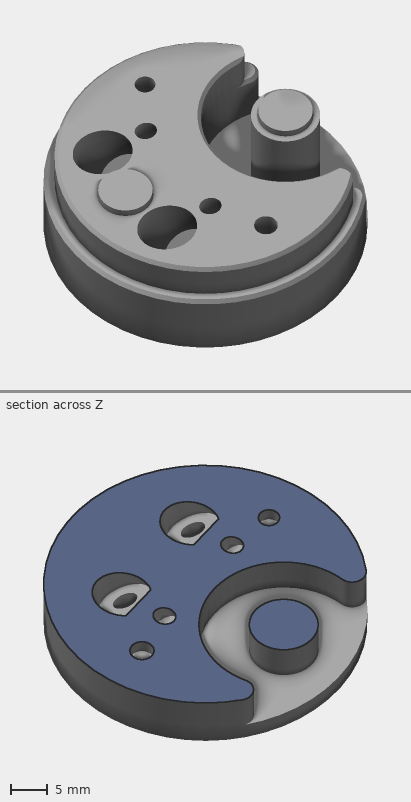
import cadquery as cq
import math

body_radius = 22.0
shoulder_radius = 20.5
floor_z = 3.0
ledge_z = 10.0
top_z = 15.0
overall_height = 16.0
edge_chamfer = 0.5

pocket_radius = 11.5
pocket_y = 13.0
horn_radius = 2.0

post_diameter = 9.4
magnet_diameter = 7.55
magnet_taper = 0.1
magnet_height = overall_height - top_z

locating_hole_x = 15.0
left_hole_diameter = 2.8
right_hole_diameter = 3.2
locating_hole_depth = 8.8

tilt_angle = 25.0
tilted_hole_x = 8.0
counterbore_diameter = 7.55
counterbore_y = -11.45
counterbore_depth = 8.85
screw_hole_diameter = 3.5
small_hole_diameter = 2.8
small_hole_y = -4.45
small_hole_depth = 8.8


def cylinder(diameter, bottom, top, x=0.0, y=0.0):
    return cq.Workplane("XY", origin=(x, y, bottom)).circle(diameter / 2).extrude(top - bottom)


def crescent(outer_radius, top):
    """Crescent prism rising from the floor, its two horns rounded tangent to both arcs."""
    outer_reach = outer_radius - horn_radius
    pocket_reach = pocket_radius + horn_radius
    horn_y = (outer_reach**2 - pocket_reach**2 + pocket_y**2) / (2 * pocket_y)
    horn_x = math.sqrt(outer_reach**2 - horn_y**2)

    outer_x = horn_x * outer_radius / outer_reach
    outer_y = horn_y * outer_radius / outer_reach
    inner_x = horn_x * pocket_radius / pocket_reach
    inner_y = pocket_y + (horn_y - pocket_y) * pocket_radius / pocket_reach

    outward_angle = math.atan2(horn_y, horn_x)
    inward_angle = math.atan2(pocket_y - horn_y, -horn_x) % (2 * math.pi)
    tip_angle = (outward_angle + inward_angle) / 2
    tip_x = horn_x + horn_radius * math.cos(tip_angle)
    tip_y = horn_y + horn_radius * math.sin(tip_angle)

    return (
        cq.Workplane("XY", origin=(0, 0, floor_z))
        .moveTo(-outer_x, outer_y)
        .threePointArc((0, -outer_radius), (outer_x, outer_y))
        .threePointArc((tip_x, tip_y), (inner_x, inner_y))
        .threePointArc((0, pocket_y - pocket_radius), (-inner_x, inner_y))
        .threePointArc((-tip_x, tip_y), (-outer_x, outer_y))
        .close()
        .extrude(top - floor_z)
    )


def upper_crescent():
    """Raised crescent with chamfered large arcs and plain horn tips."""
    rim = cylinder(2 * shoulder_radius, floor_z, top_z).faces(">Z").chamfer(edge_chamfer)
    pocket_chamfer = cq.Workplane(
        cq.Solid.makeCone(
            pocket_radius,
            pocket_radius + edge_chamfer,
            edge_chamfer,
            pnt=cq.Vector(0, pocket_y, top_z - edge_chamfer),
        )
    )
    return crescent(shoulder_radius, top_z).intersect(rim).cut(pocket_chamfer)


def magnet(y):
    """Visible end of a magnet, tapering slightly toward its top face."""
    base_radius = magnet_diameter / 2
    return cq.Workplane(
        cq.Solid.makeCone(
            base_radius,
            base_radius - magnet_taper,
            magnet_height,
            pnt=cq.Vector(0, y, top_z),
        )
    )


def tilted_hole(diameter, depth, x, y):
    """Hole entering the top at (x, y) and leaning toward +Y as it goes down."""
    tilt = math.radians(tilt_angle)
    direction = cq.Vector(0, math.sin(tilt), -math.cos(tilt))
    entry = cq.Vector(x, y, top_z)
    lead_in = diameter
    start = entry - direction * lead_in
    return cq.Workplane(cq.Solid.makeCylinder(diameter / 2, depth + lead_in, start, direction))


base = cylinder(2 * body_radius, 0, floor_z).faces("<Z").chamfer(edge_chamfer)
lower_crescent = crescent(body_radius, ledge_z).faces(">Z").chamfer(edge_chamfer)
result = base.union(lower_crescent).union(upper_crescent())

for hole_x, hole_diameter in (
    (-locating_hole_x, left_hole_diameter),
    (locating_hole_x, right_hole_diameter),
):
    result = result.cut(cylinder(hole_diameter, top_z - locating_hole_depth, top_z, x=hole_x))

through_depth = 2 * top_z
for hole_x in (-tilted_hole_x, tilted_hole_x):
    result = result.cut(tilted_hole(counterbore_diameter, counterbore_depth, hole_x, counterbore_y))
    result = result.cut(tilted_hole(screw_hole_diameter, through_depth, hole_x, counterbore_y))
    result = result.cut(tilted_hole(small_hole_diameter, small_hole_depth, hole_x, small_hole_y))

result = result.union(cylinder(post_diameter, floor_z, top_z, y=pocket_y))
for magnet_y in (-pocket_y, pocket_y):
    result = result.union(magnet(magnet_y))